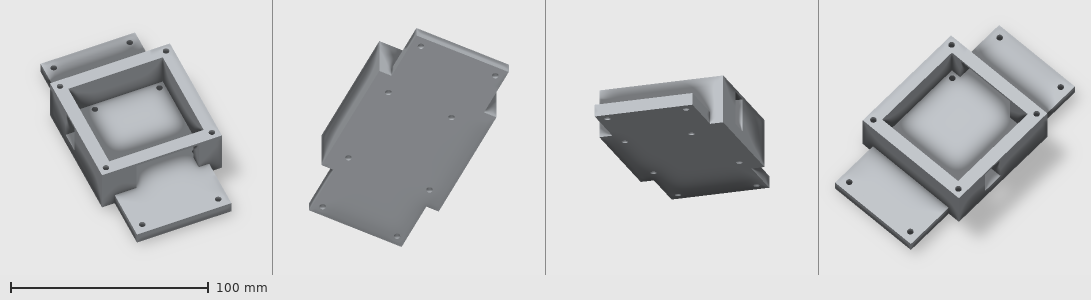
import cadquery as cq

box_side = 66.04
box_height = 25.4
cavity_side = 52.07
floor_thickness = 6.35
wall_thickness = (box_side - cavity_side) / 2

plate_length = 122.61
plate_width = cavity_side

screw_diameter = 3.3
lid_hole_depth = 12.7
lid_hole_inset = 3.81
wing_hole_inset = 5.08
board_hole_inset = 3.175
short_board_hole_y = -12.7

bridge_height = 1.524
opening_height = box_height - floor_thickness - bridge_height
front_opening_width = 11.43
front_opening_x = -7.62
side_opening_width = 34.29
side_opening_y = 3.175


def block(length, width, height, center_x=0, center_y=0, base_z=0):
    """Box centred on (center_x, center_y) with its underside at base_z."""
    return (
        cq.Workplane("XY")
        .box(length, width, height, centered=(True, True, False))
        .translate((center_x, center_y, base_z))
    )


def corner_points(x, y):
    """Four points mirrored about both axes."""
    return [(sign_x * x, sign_y * y) for sign_x in (-1, 1) for sign_y in (-1, 1)]


def screw_holes(points, base_z, depth):
    """Round cutters rising from base_z at the given points."""
    return (
        cq.Workplane("XY")
        .workplane(offset=base_z)
        .pushPoints(points)
        .circle(screw_diameter / 2)
        .extrude(depth)
    )


def shell():
    """Open-topped box joined to its mounting plate."""
    body = block(box_side, box_side, box_height)
    plate = block(plate_length, plate_width, floor_thickness)
    cavity = block(cavity_side, cavity_side, box_height - floor_thickness, base_z=floor_thickness)
    return body.union(plate).cut(cavity)


def wall_openings():
    """Cutters through the -Y wall and the +X wall."""
    wall_center = (cavity_side + wall_thickness) / 2
    front = block(
        front_opening_width, wall_thickness, opening_height,
        front_opening_x, -wall_center, floor_thickness,
    )
    side = block(
        wall_thickness, side_opening_width, opening_height,
        wall_center, side_opening_y, floor_thickness,
    )
    return front.union(side)


def lid_holes():
    """Blind holes in the corners of the rim."""
    offset = box_side / 2 - lid_hole_inset
    return screw_holes(corner_points(offset, offset), box_height - lid_hole_depth, lid_hole_depth)


def wing_holes():
    """Through holes in the corners of the mounting plate."""
    x = plate_length / 2 - wing_hole_inset
    y = plate_width / 2 - wing_hole_inset
    return screw_holes(corner_points(x, y), 0, floor_thickness)


def board_holes():
    """Through holes in the cavity floor, three in corners and one set in from its corner."""
    offset = cavity_side / 2 - board_hole_inset
    points = [
        (-offset, offset),
        (offset, offset),
        (offset, -offset),
        (-offset, short_board_hole_y),
    ]
    return screw_holes(points, 0, floor_thickness)


result = (
    shell()
    .cut(wall_openings())
    .cut(lid_holes())
    .cut(wing_holes())
    .cut(board_holes())
)